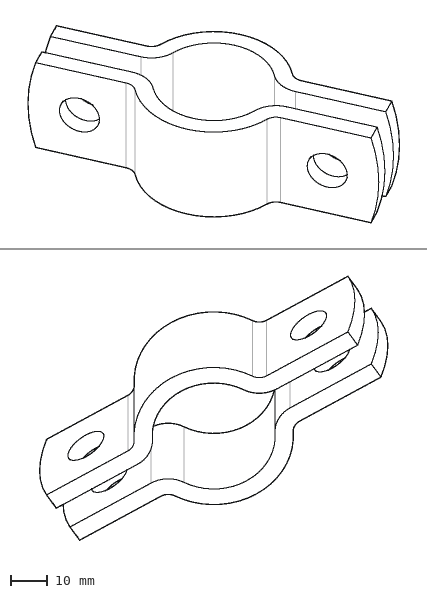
import cadquery as cq
import math

length = 102.0
height = 30.0
thickness = 5.0
gap = 7.0
bore_radius = 16.8
bend_radius = 3.8
hole_diameter = 11.6
hole_offset = 36.0

half_length = length / 2
arch_radius = bore_radius + thickness
ear_inner_y = gap / 2
ear_outer_y = ear_inner_y + thickness
bend_y = ear_outer_y + bend_radius
bend_x = math.sqrt((arch_radius + bend_radius) ** 2 - bend_y ** 2)
arch_angle = math.atan2(bend_y, bend_x)


def arch_end(radius):
    """Point on the arch, at the given radius, where it meets the right-hand bend."""
    return radius * math.cos(arch_angle), radius * math.sin(arch_angle)


def bend_middle(radius):
    """Midpoint of the right-hand bend arc of the given radius."""
    middle_angle = (arch_angle + math.pi + 1.5 * math.pi) / 2
    return bend_x + radius * math.cos(middle_angle), bend_y + radius * math.sin(middle_angle)


def mirrored(point):
    return -point[0], point[1]


def strap_outline():
    """Constant-thickness strap: flat ear, bend, arch, bend, flat ear."""
    outer_end = arch_end(arch_radius)
    inner_end = arch_end(bore_radius)
    outer_bend = bend_middle(bend_radius)
    inner_bend = bend_middle(bend_radius + thickness)
    return (
        cq.Workplane("XY", origin=(0, 0, -height / 2))
        .moveTo(half_length, ear_outer_y)
        .lineTo(bend_x, ear_outer_y)
        .threePointArc(outer_bend, outer_end)
        .threePointArc((0, arch_radius), mirrored(outer_end))
        .threePointArc(mirrored(outer_bend), (-bend_x, ear_outer_y))
        .lineTo(-half_length, ear_outer_y)
        .lineTo(-half_length, ear_inner_y)
        .lineTo(-bend_x, ear_inner_y)
        .threePointArc(mirrored(inner_bend), mirrored(inner_end))
        .threePointArc((0, bore_radius), inner_end)
        .threePointArc(inner_bend, (bend_x, ear_inner_y))
        .lineTo(half_length, ear_inner_y)
        .close()
    )


def cylinder_along_y(diameter):
    """Cylinder about the Y axis, long enough to cross the whole strap."""
    return cq.Workplane("XZ").circle(diameter / 2).extrude(arch_radius, both=True)


def make_strap():
    """Clamp half on the +Y side of the clamp axis."""
    strap = strap_outline().extrude(height)
    strap = strap.intersect(cylinder_along_y(length))
    for hole_x in (-hole_offset, hole_offset):
        strap = strap.cut(cylinder_along_y(hole_diameter).translate((hole_x, 0, 0)))
    return strap.solids()


half_turn = 180
straps = []
for turn in (0, half_turn):
    straps.append(make_strap().rotate((0, 0, 0), (0, 0, 1), turn).val())

result = cq.Compound.makeCompound(straps)